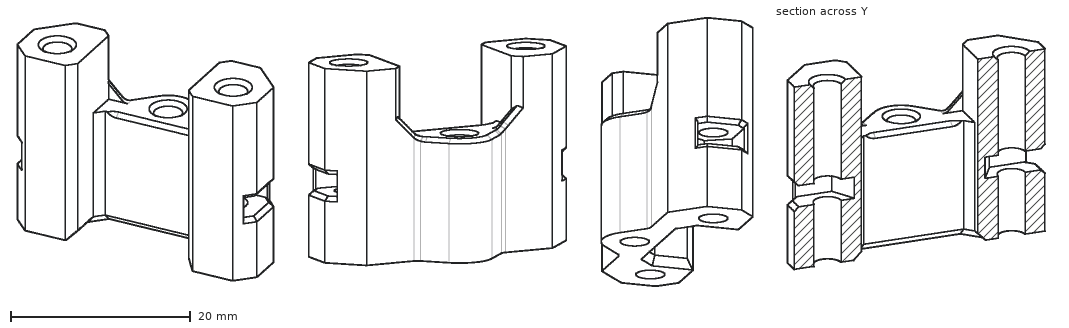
import cadquery as cq
import math

width = 30.0
depth = 13.25
height = 22.0

column_gap = 13.85
column_depth = 9.5
front_outer_corner = 2.0
front_inner_corner = 1.05
back_outer_corner = 3.45
back_inner_corner = 1.0

web_front_y = 5.8
web_top = 14.0
gusset_leg = 0.95
edge_chamfer = 0.5
blend_radius = 1.0
ramp_start_x = 5.0
ramp_thickness = 1.0
bottom_chamfer = 0.95
column_overlap = 1.5

column_hole_x = 11.0
column_hole_y = 4.0
hole_diameter = 3.2
countersink_depth = 0.5
nut_across_flats = 5.5
nut_slot_bottom = 7.5
nut_slot_height = 2.5

outer_x = width / 2
inner_x = column_gap / 2
gusset_foot_x = inner_x - gusset_leg
gusset_front_y = web_front_y - gusset_leg
ramp_wall_y = column_depth - ramp_thickness
web_end_x = inner_x + column_overlap
web_end_z = web_top + web_end_x - ramp_start_x
boss_radius = depth - column_depth
flank_start = boss_radius * math.sqrt(0.5)
flank_foot_x = boss_radius * math.sqrt(2)
margin = 0.3


def both_sides(solid):
    """Join a solid to its mirror image across the YZ plane."""
    return solid.union(solid.mirror("YZ"))


def edges_within(solid, low, high):
    """Edges whose centres lie inside the box between two corners."""
    return solid.edges(cq.selectors.BoxSelector(low, high))


def make_column():
    """Octagonal column on the +X side."""
    return (
        cq.Workplane("XY")
        .moveTo(inner_x, front_inner_corner)
        .lineTo(inner_x + front_inner_corner, 0)
        .lineTo(outer_x - front_outer_corner, 0)
        .lineTo(outer_x, front_outer_corner)
        .lineTo(outer_x, column_depth - back_outer_corner)
        .lineTo(outer_x - back_outer_corner, column_depth)
        .lineTo(inner_x + back_inner_corner, column_depth)
        .lineTo(inner_x, column_depth - back_inner_corner)
        .close()
        .extrude(height)
    )


def cut_nut_slot(column):
    """Cut a hexagon-ended nut slot into the outer side and chamfer its mouth."""
    half_flats = nut_across_flats / 2
    tip_reach = nut_across_flats / math.sqrt(3)
    slot = (
        cq.Workplane("XY", origin=(column_hole_x, column_hole_y, nut_slot_bottom))
        .moveTo(-tip_reach, 0)
        .lineTo(-tip_reach / 2, half_flats)
        .lineTo(outer_x, half_flats)
        .lineTo(outer_x, -half_flats)
        .lineTo(-tip_reach / 2, -half_flats)
        .close()
        .extrude(nut_slot_height)
    )
    mouth_edges = edges_within(
        column.cut(slot),
        (outer_x - front_outer_corner / 2, 0, nut_slot_bottom - margin),
        (outer_x + margin, column_depth, nut_slot_bottom + nut_slot_height + margin),
    )
    return mouth_edges.chamfer(edge_chamfer)


def make_web_plan():
    """Web seen along Z, with the round boss blended into its flat back."""
    plan = (
        cq.Workplane("XY")
        .moveTo(-web_end_x, web_front_y)
        .lineTo(web_end_x, web_front_y)
        .lineTo(web_end_x, column_depth)
        .lineTo(flank_foot_x, column_depth)
        .lineTo(flank_start, column_depth + flank_start)
        .threePointArc((0, depth), (-flank_start, column_depth + flank_start))
        .lineTo(-flank_foot_x, column_depth)
        .lineTo(-web_end_x, column_depth)
        .close()
        .extrude(height)
    )
    flank_feet = edges_within(
        plan,
        (-flank_foot_x - margin, column_depth - margin, margin),
        (flank_foot_x + margin, column_depth + margin, height - margin),
    )
    return flank_feet.fillet(blend_radius)


def make_ramp_profile():
    """Web seen along Y, with its flat top blended into a ramp at each end."""
    profile = (
        cq.Workplane("XZ")
        .moveTo(-web_end_x, 0)
        .lineTo(web_end_x, 0)
        .lineTo(web_end_x, web_end_z)
        .lineTo(ramp_start_x, web_top)
        .lineTo(-ramp_start_x, web_top)
        .lineTo(-web_end_x, web_end_z)
        .close()
        .extrude(-depth - margin)
    )
    ramp_feet = edges_within(
        profile,
        (-ramp_start_x - margin, margin, web_top - margin),
        (ramp_start_x + margin, depth, web_top + margin),
    )
    return ramp_feet.fillet(blend_radius)


def make_web():
    """Web with chamfered top edges, its ramps kept only along the back."""
    web = make_web_plan().intersect(make_ramp_profile())
    top_edges = edges_within(
        web,
        (-web_end_x + margin, 0, web_top - margin),
        (web_end_x - margin, depth + margin, height),
    ).edges("not |Y")
    web = top_edges.chamfer(edge_chamfer)
    ramp_trim = (
        cq.Workplane("XY")
        .box(2 * web_end_x, ramp_wall_y, height, centered=(True, False, False))
        .translate((0, 0, web_top))
    )
    return web.cut(ramp_trim)


def make_gusset():
    """Triangular corner between the web front and the +X column."""
    return (
        cq.Workplane("XY")
        .moveTo(gusset_foot_x, web_front_y)
        .lineTo(inner_x, gusset_front_y)
        .lineTo(inner_x, web_front_y)
        .close()
        .extrude(web_top)
    )


def opening_points(offset):
    """Outline of the space in front of the web, widened by an offset."""
    side_x = inner_x + offset
    back_y = web_front_y + offset
    return [
        (-side_x, -margin),
        (side_x, -margin),
        (side_x, gusset_front_y),
        (gusset_foot_x, back_y),
        (-gusset_foot_x, back_y),
        (-side_x, gusset_front_y),
    ]


def make_bottom_flare():
    """Tapered cutter that chamfers the bottom edge of the space between the columns."""
    return (
        cq.Workplane("XY")
        .polyline(opening_points(bottom_chamfer))
        .close()
        .workplane(offset=bottom_chamfer)
        .polyline(opening_points(0))
        .close()
        .loft(ruled=True)
    )


def make_screw_hole(x, y, top):
    """Cutter for a through hole countersunk at its top."""
    radius = hole_diameter / 2
    bore = cq.Workplane("XY").circle(radius).extrude(top)
    countersink = (
        cq.Workplane("XY", origin=(0, 0, top - countersink_depth))
        .circle(radius)
        .workplane(offset=countersink_depth)
        .circle(radius + countersink_depth)
        .loft()
    )
    return bore.union(countersink).translate((x, y, 0))


column = cut_nut_slot(make_column())
body = make_web().union(both_sides(column)).union(both_sides(make_gusset()))
body = body.cut(make_bottom_flare())
for hole_x, hole_y, hole_top in (
    (-column_hole_x, column_hole_y, height),
    (column_hole_x, column_hole_y, height),
    (0, column_depth, web_top),
):
    body = body.cut(make_screw_hole(hole_x, hole_y, hole_top))

result = body